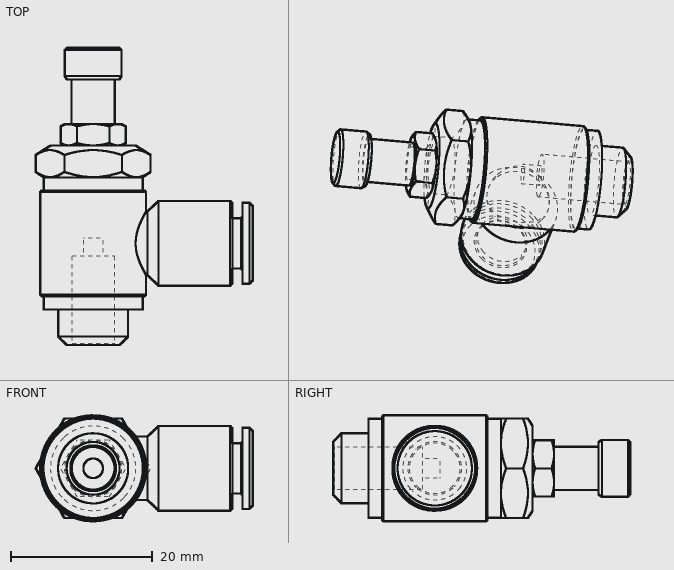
import cadquery as cq
import math

stub_top = 5.0
body_bottom = 6.9
body_top = 21.85
nut_bottom = 23.7
nut_top = 28.2
locknut_top = 31.2
stem_top = 37.45
knob_top = 42.0

stub_radius = 4.95
stub_tip_radius = 3.75
stub_tip_length = 1.18
collar_radius = 7.0
body_diameter = 15.0
body_radius = body_diameter / 2
body_chamfer = 0.25
stem_radius = 3.05
knob_radius = 4.05
knob_top_chamfer = 0.38
knob_base_chamfer_height = 0.5
knob_base_chamfer_width = 0.35

nut_flats = 14.05
nut_top_radius = 6.0
nut_bottom_radius = 7.0
nut_top_corner_drop = 1.35
nut_bottom_corner_rise = 0.75
locknut_flats = 8.0
locknut_end_radius = 4.0
locknut_corner_drop = 0.35

bore_radius = 3.02
bore_mouth_radius = 3.25
bore_mouth_depth = 0.2
bore_depth = 12.6
pilot_radius = 1.4
pilot_depth = 2.5

branch_y = 14.35
branch_neck_radius = 4.5
branch_cone_start = 7.65
branch_cone_end = 9.25
branch_radius = 6.0
branch_end = 19.65
branch_chamfer = 0.35
sleeve_radius = 3.55
sleeve_flare = 0.2
flange_start = 21.1
flange_end = 22.55
flange_radius = 5.75
flange_chamfer = 0.5


def turned_about_y(profile):
    """Revolve (radius, y) points, closed along the main axis."""
    points = [(0, profile[0][1])] + profile + [(0, profile[-1][1])]
    return cq.Workplane("XY").polyline(points).close().revolve(360, (0, 0), (0, 1))


def turned_about_branch(profile):
    """Revolve (x, radius) points, closed along the branch axis."""
    points = [(profile[0][0], 0)] + profile + [(profile[-1][0], 0)]
    branch = cq.Workplane("XY").polyline(points).close().revolve(360, (0, 0), (1, 0))
    return branch.translate((0, branch_y, 0))


def hex_nut(flats, bottom, top, bottom_radius, top_radius, rise, drop):
    """Hexagon with corners on X, its corners trimmed by a cone at each end."""
    corner_radius = flats / math.sqrt(3)
    prism = (
        cq.Workplane("XZ", origin=(0, bottom, 0))
        .polygon(6, 2 * corner_radius)
        .extrude(bottom - top)
    )
    envelope = turned_about_y([
        (bottom_radius, bottom),
        (corner_radius, bottom + rise),
        (corner_radius, top - drop),
        (top_radius, top),
    ])
    return prism.intersect(envelope)


main_body = turned_about_y([
    (stub_tip_radius, 0),
    (stub_radius, stub_tip_length),
    (stub_radius, stub_top),
    (collar_radius, stub_top),
    (collar_radius, body_bottom),
    (body_radius - body_chamfer, body_bottom),
    (body_radius, body_bottom + body_chamfer),
    (body_radius, body_top - body_chamfer),
    (body_radius - body_chamfer, body_top),
    (collar_radius, body_top),
    (collar_radius, nut_bottom),
    (stem_radius, nut_bottom),
    (stem_radius, stem_top),
    (knob_radius - knob_base_chamfer_width, stem_top),
    (knob_radius, stem_top + knob_base_chamfer_height),
    (knob_radius, knob_top - knob_top_chamfer),
    (knob_radius - knob_top_chamfer, knob_top),
])

nut = hex_nut(
    nut_flats, nut_bottom, nut_top,
    nut_bottom_radius, nut_top_radius,
    nut_bottom_corner_rise, nut_top_corner_drop,
)
locknut = hex_nut(
    locknut_flats, nut_top, locknut_top,
    locknut_end_radius, locknut_end_radius,
    locknut_corner_drop, locknut_corner_drop,
)

branch = turned_about_branch([
    (0, branch_neck_radius),
    (branch_cone_start, branch_neck_radius),
    (branch_cone_end, branch_radius),
    (branch_end - branch_chamfer, branch_radius),
    (branch_end, branch_radius - branch_chamfer),
    (branch_end, sleeve_radius),
    (flange_start - sleeve_flare, sleeve_radius),
    (flange_start, sleeve_radius + sleeve_flare),
    (flange_start, flange_radius),
    (flange_end - flange_chamfer, flange_radius),
    (flange_end, flange_radius - flange_chamfer),
])

bore = turned_about_y([
    (bore_mouth_radius, 0),
    (bore_radius, bore_mouth_depth),
    (bore_radius, bore_depth),
    (pilot_radius, bore_depth),
    (pilot_radius, bore_depth + pilot_depth),
])

result = main_body.union(nut).union(locknut).union(branch).cut(bore)